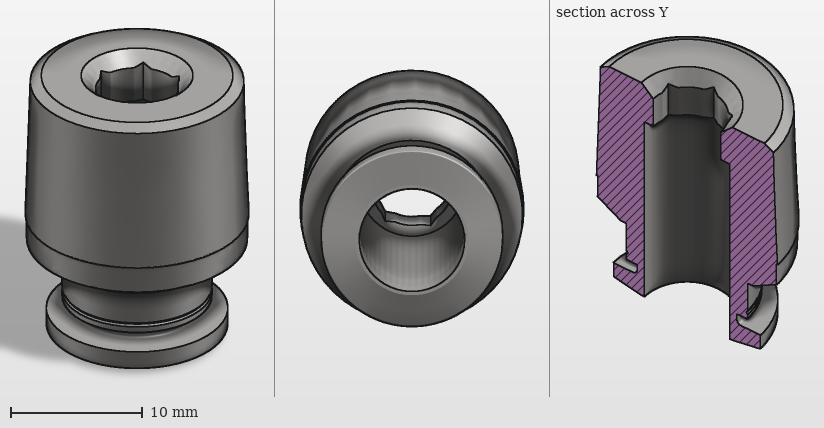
import cadquery as cq
import math

total_height = 22.2

face_radius = 4.3
collar_radius = 13.8 / 2
collar_bottom_z = 0.52
collar_top_z = 2.0
collar_edge_fillet = 0.18
stem_radius = 9.4 / 2
stem_fillet = 0.4

neck_radius = 11.4 / 2
ring_bottom_z = 2.95
ring_edge_chamfer = 0.08
groove_depth = 0.13
groove_bottom_z = 3.5
groove_top_z = 3.85

body_bottom_z = 6.7
underside_radius = 6.2
band_radius = 16.8 / 2
band_bottom_z = 8.05
band_top_z = 10.2
sleeve_bottom_radius = 17.01 / 2
sleeve_top_radius = 8.12
sleeve_top_z = total_height - 0.5
top_face_radius = 7.28

tube_bore_radius = 8.0 / 2
hex_sides = 6
hex_across_flats = 6.0
hex_relief_diameter = 6.3
hex_floor_z = total_height - 4.0
mouth_diameter = 8.5


def make_outer_body():
    """Revolve the half section of the collar, neck and body about Z."""
    groove_radius = neck_radius - groove_depth
    groove_z = (groove_bottom_z + groove_top_z) / 2
    section = (
        cq.Workplane("XZ")
        .moveTo(0, 0)
        .lineTo(face_radius, 0)
        .lineTo(collar_radius, collar_bottom_z)
        .lineTo(collar_radius, collar_top_z)
        .lineTo(stem_radius + stem_fillet, collar_top_z)
        .radiusArc((stem_radius, collar_top_z + stem_fillet), stem_fillet)
        .lineTo(stem_radius, ring_bottom_z)
        .lineTo(neck_radius - ring_edge_chamfer, ring_bottom_z)
        .lineTo(neck_radius, ring_bottom_z + ring_edge_chamfer)
        .lineTo(neck_radius, groove_bottom_z)
        .lineTo(groove_radius, groove_z)
        .lineTo(neck_radius, groove_top_z)
        .lineTo(neck_radius, body_bottom_z)
        .lineTo(underside_radius, body_bottom_z)
        .lineTo(band_radius, band_bottom_z)
        .lineTo(band_radius, band_top_z)
        .lineTo(sleeve_bottom_radius, band_top_z)
        .lineTo(sleeve_top_radius, sleeve_top_z)
        .lineTo(top_face_radius, total_height)
        .lineTo(0, total_height)
        .close()
    )
    return section.revolve(360, (0, 0, 0), (0, 1, 0))


def round_collar_edge(body):
    """Soften the lower rim of the collar."""
    margin = 0.1
    rim_finder = cq.selectors.BoxSelector(
        (-collar_radius - margin, -collar_radius - margin, collar_bottom_z - margin),
        (collar_radius + margin, collar_radius + margin, collar_bottom_z + margin),
        boundingbox=True,
    )
    return body.edges(rim_finder).fillet(collar_edge_fillet)


def make_passage():
    """Tube bore from below, hex socket with a round relief above, conical mouth on top."""
    tube_bore = cq.Workplane("XY").circle(tube_bore_radius).extrude(hex_floor_z)
    socket_depth = total_height - hex_floor_z
    across_corners = hex_across_flats / math.cos(math.pi / hex_sides)
    socket_plane = cq.Workplane("XY").workplane(offset=hex_floor_z)
    hex_socket = (
        socket_plane.transformed(rotate=(0, 0, 90))
        .polygon(hex_sides, across_corners)
        .extrude(socket_depth)
    )
    relief = socket_plane.circle(hex_relief_diameter / 2).extrude(socket_depth)
    mouth_radius = mouth_diameter / 2
    apex = cq.Vector(0, 0, total_height - mouth_radius)
    mouth = cq.Workplane(cq.Solid.makeCone(0, mouth_radius, mouth_radius, pnt=apex))
    return tube_bore.union(hex_socket).union(relief).union(mouth)


result = round_collar_edge(make_outer_body()).cut(make_passage())